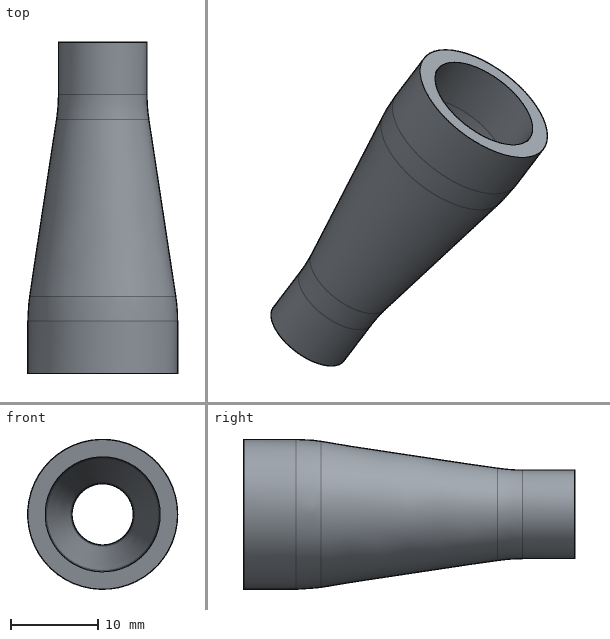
import cadquery as cq
import math

length = 38.0
end_length = 6.0
outer_blend_radius = 19.0

wide_outer_diameter = 17.2
wide_bore_diameter = 13.2
narrow_outer_diameter = 10.2
narrow_bore_diameter = 7.0

wide_wall = (wide_outer_diameter - wide_bore_diameter) / 2
bore_blend_radius = outer_blend_radius - wide_wall


def reducer_solid(wide_diameter, narrow_diameter, blend_radius):
    """Solid of revolution: cylinder, tangent arc, cone, tangent arc, cylinder."""
    wide_radius = wide_diameter / 2
    narrow_radius = narrow_diameter / 2
    taper_start = end_length
    taper_end = length - end_length
    taper_length = taper_end - taper_start
    drop = wide_radius - narrow_radius

    root = math.sqrt(taper_length**2 - drop * (4 * blend_radius - drop))
    half_angle = math.atan(drop / (taper_length + root))
    cone_angle = 2 * half_angle

    def arc_offset(angle):
        """Axial and radial distance along a blend arc from its cylinder."""
        axial = blend_radius * math.sin(angle)
        radial = blend_radius * (1 - math.cos(angle))
        return axial, radial

    mid_axial, mid_radial = arc_offset(half_angle)
    end_axial, end_radial = arc_offset(cone_angle)

    profile = (
        cq.Workplane("XY")
        .lineTo(wide_radius, 0)
        .lineTo(wide_radius, taper_start)
        .threePointArc(
            (wide_radius - mid_radial, taper_start + mid_axial),
            (wide_radius - end_radial, taper_start + end_axial),
        )
        .lineTo(narrow_radius + end_radial, taper_end - end_axial)
        .threePointArc(
            (narrow_radius + mid_radial, taper_end - mid_axial),
            (narrow_radius, taper_end),
        )
        .lineTo(narrow_radius, length)
        .lineTo(0, length)
        .close()
    )
    return profile.revolve(360, (0, 0, 0), (0, 1, 0))


body = reducer_solid(wide_outer_diameter, narrow_outer_diameter, outer_blend_radius)
bore = reducer_solid(wide_bore_diameter, narrow_bore_diameter, bore_blend_radius)

result = body.cut(bore)